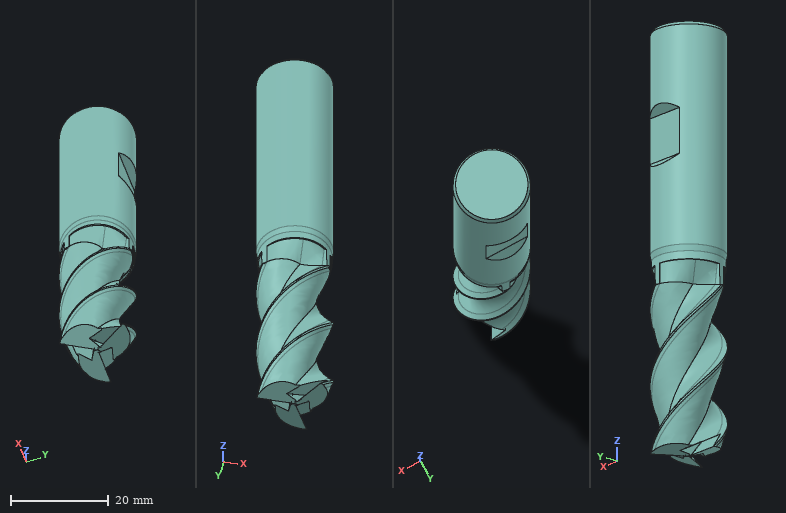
import cadquery as cq
import math

TOTAL_LENGTH = 92.0
RADIUS = 8.0
CUTTER_LENGTH = 35.9

TOP_CHAMFER_WIDTH = 0.55
TOP_CHAMFER_HEIGHT = 0.8
NECK_RADIUS = 7.7
NECK_TOP = 42.0
SHANK_BOTTOM = 43.4
CLAMP_FLAT_DEPTH = 1.7
CLAMP_FLAT_CENTRE = 68.2
CLAMP_FLAT_LENGTH = 9.9

FLUTE_COUNT = 3
FLUTE_PITCH = 16.65
LEAD = FLUTE_COUNT * FLUTE_PITCH
FLUTE_START = -106.5
FLUTE_SPACING = 360 / FLUTE_COUNT
TWIST = 360 * CUTTER_LENGTH / LEAD
EDGE_ANGLE = 46.5
LAND_ANGLE = 51.0
HEEL_ANGLE = 58.0
HEEL_RADIUS = 7.6
CORE_RADIUS = 4.5
RAKE_ANGLE = 22.0
RAKE_RADIUS = 5.0
LIP_ANGLE = 41.0
LIP_RADIUS = 6.9
BACK_ANGLE = -32.0
BACK_RADIUS = 6.3

RUNOUT_LENGTH = 4.4
RUNOUT_RADIUS = 7.45
CLEAR_RADIUS = 2 * RADIUS

GASH_HEIGHT = 3.7
GASH_WIDTH = 3.7
GASH_LEAN = 2.9
GASH_INNER_RADIUS = 0.7
END_CLEARANCE_ANGLE = 12.0


def polar(radius, angle):
    turn = math.radians(angle)
    return (radius * math.cos(turn), radius * math.sin(turn))


def make_tooth_section():
    """Outline of the fluted cross-section at the cutting end."""
    section = cq.Workplane("XY").moveTo(*polar(HEEL_RADIUS, FLUTE_START + HEEL_ANGLE - FLUTE_SPACING))
    for i in range(FLUTE_COUNT):
        flute = FLUTE_START + i * FLUTE_SPACING
        section = (
            section
            .threePointArc(polar(BACK_RADIUS, flute + BACK_ANGLE), polar(CORE_RADIUS, flute))
            .threePointArc(polar(RAKE_RADIUS, flute + RAKE_ANGLE), polar(LIP_RADIUS, flute + LIP_ANGLE))
            .lineTo(*polar(RADIUS, flute + EDGE_ANGLE))
            .threePointArc(
                polar(RADIUS, flute + (EDGE_ANGLE + LAND_ANGLE) / 2),
                polar(RADIUS, flute + LAND_ANGLE),
            )
            .lineTo(*polar(HEEL_RADIUS, flute + HEEL_ANGLE))
        )
    return section.close()


def make_end_prism(points, inner_radius, edge_angle):
    """Radial prism beside a cutting edge; points are (distance behind the edge, height)."""
    plane = cq.Plane(origin=(inner_radius, 0, 0), xDir=(0, 1, 0), normal=(1, 0, 0))
    prism = cq.Workplane(plane).polyline(points).close().extrude(CLEAR_RADIUS)
    return prism.rotate((0, 0, 0), (0, 0, 1), edge_angle)


def make_cutter():
    cutter = make_tooth_section().twistExtrude(CUTTER_LENGTH, TWIST)
    clearance_rise = RADIUS * math.tan(math.radians(END_CLEARANCE_ANGLE))
    gash_points = [(0, 0), (GASH_LEAN, GASH_HEIGHT), (-GASH_WIDTH, 0)]
    clearance_points = [(0, 0), (RADIUS, 0), (RADIUS, clearance_rise)]
    for i in range(FLUTE_COUNT):
        edge_angle = FLUTE_START + EDGE_ANGLE + i * FLUTE_SPACING
        cutter = cutter.cut(make_end_prism(gash_points, GASH_INNER_RADIUS, edge_angle))
        cutter = cutter.cut(make_end_prism(clearance_points, 0, edge_angle))
    return cutter


def make_flute_wire(height, back_radius, core_radius, rake_radius, lip_radius):
    """Flute opening about +X at the given height, with the radii of its floor."""
    heel_angle = HEEL_ANGLE - FLUTE_SPACING
    return (
        cq.Workplane("XY", origin=(0, 0, height))
        .moveTo(*polar(HEEL_RADIUS, heel_angle))
        .threePointArc(polar(back_radius, BACK_ANGLE), polar(core_radius, 0))
        .threePointArc(polar(rake_radius, RAKE_ANGLE), polar(lip_radius, LIP_ANGLE))
        .lineTo(*polar(RADIUS, EDGE_ANGLE))
        .lineTo(*polar(CLEAR_RADIUS, EDGE_ANGLE))
        .lineTo(*polar(CLEAR_RADIUS, heel_angle))
        .close()
        .val()
    )


def make_runout(angle):
    """Flute end that climbs out of the neck."""
    low = make_flute_wire(CUTTER_LENGTH, BACK_RADIUS, CORE_RADIUS, RAKE_RADIUS, LIP_RADIUS)
    high = make_flute_wire(
        CUTTER_LENGTH + RUNOUT_LENGTH, RUNOUT_RADIUS, RUNOUT_RADIUS, RUNOUT_RADIUS, RUNOUT_RADIUS
    )
    runout = cq.Solid.makeLoft([low, high], True)
    return runout.rotate(cq.Vector(0, 0, 0), cq.Vector(0, 0, 1), angle)


def make_clamp_flat():
    """Flat with 45 degree ends across the +Y side of the shank."""
    half = CLAMP_FLAT_LENGTH / 2
    floor = RADIUS - CLAMP_FLAT_DEPTH
    outer_half = half + CLEAR_RADIUS - floor
    return (
        cq.Workplane("YZ", origin=(0, 0, CLAMP_FLAT_CENTRE))
        .polyline([(floor, -half), (floor, half), (CLEAR_RADIUS, outer_half), (CLEAR_RADIUS, -outer_half)])
        .close()
        .extrude(RADIUS, both=True)
    )


def make_shank():
    profile = [
        (0, CUTTER_LENGTH),
        (NECK_RADIUS, CUTTER_LENGTH),
        (NECK_RADIUS, NECK_TOP),
        (RADIUS, SHANK_BOTTOM),
        (RADIUS, TOTAL_LENGTH - TOP_CHAMFER_HEIGHT),
        (RADIUS - TOP_CHAMFER_WIDTH, TOTAL_LENGTH),
        (0, TOTAL_LENGTH),
    ]
    shank = cq.Workplane("XZ").polyline(profile).close().revolve(360, (0, 0), (0, 1))
    shank = shank.cut(make_clamp_flat())
    for i in range(FLUTE_COUNT):
        shank = shank.cut(cq.Workplane(make_runout(FLUTE_START + TWIST + i * FLUTE_SPACING)))
    return shank


cutter = make_cutter()
shank = make_shank()
result = cq.Compound.makeCompound([cutter.val(), shank.val()])